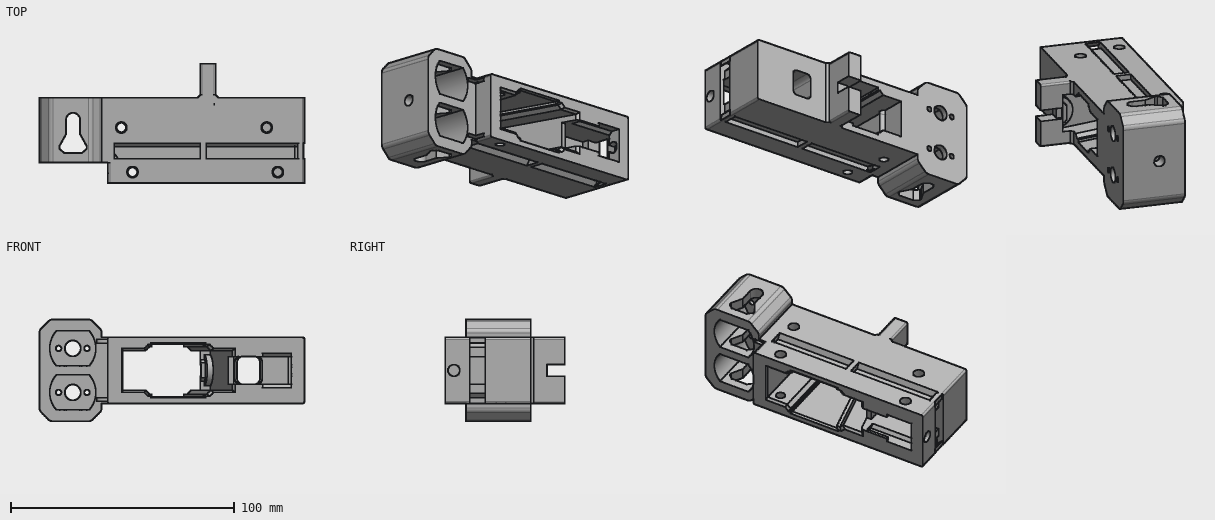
import cadquery as cq
import math

total_length = 118.8
total_depth = 53.5
body_depth = 38.4
body_height = 29.7
body_left = 30.5
edge_fillet = 1.0
half_body = body_height / 2

pod_width = 27.9
pod_height = 45.7
pod_front = 9.3
pod_corner = 4.9
pod_corner_fillet = 2.8
socket_x = 15.0
socket_z = 9.9
socket_half_width = 10.3
socket_half_flat = 7.4
socket_half_height = 7.8
socket_floor = 35.4
cable_hole_diameter = 7.0
pin_hole_diameter = 2.4
pin_spacing = 12.7

keyhole_x = 15.1
keyhole_top = 31.5
keyhole_narrow = 3.1
keyhole_neck = 22.0
keyhole_shoulder = 16.6
keyhole_wide = 6.0
keyhole_side = 1.2
keyhole_bottom = 13.5
keyhole_bottom_half = 3.9

side_hole_y = 21.4

tie_slot_radius = 4.9
tie_slot_low = 12.2
tie_slot_height = 1.7

arm_left = 72.0
arm_right = 79.0
arm_fillet = 0.8
arm_root_chamfer = 1.2
arm_slot_height = 5.2
arm_slot_floor = 45.6
arm_recess_depth = 1.7

channel_left = 37.4
channel_right = 86.6
channel_half_narrow = 8.8
channel_half_wide = 11.8
channel_depth = 43.1
channel_shift = 10.1
channel_half_ledge = 10.6
wide_left_start = 47.5
wide_left_end = 50.2
wide_right_start = 73.5
wide_right_end = 77.0
channel_chamfer = 1.1
channel_left_chamfer = 0.5
wide_chamfer = 0.6

pad_radius = 7.1
pad_axis_y = 44.5
pad_thickness = 2.6
tab_left = 72.3
tab_height = 9.5
tab_thickness = 2.0
tab_chamfer = 1.4

bay_half_height = 6.2
bay_left = 86.9
bay_right = 111.4
bay_depth = 21.4
bay_entry_depth = 8.3
latch_half_height = 7.7
latch_left = 89.1
latch_lip_end = 100.0
latch_right = 112.8
latch_lip = 1.3
latch_slope_start = 4.5
latch_slope_end = latch_slope_start + latch_half_height - bay_half_height
bay_end_right = 116.6
outlet_left = 88.6
outlet_right = 98.7
outlet_corner = 2.4
outlet_flare = 1.1

strap_front = 11.0
strap_back = 17.9
strap_floor_back = 16.3
strap_depth = 2.5
strap_left = 33.6
strap_left_end = 72.1
strap_right = 74.8
strap_bend = 114.2
strap_bar_left = 115.7
strap_bar_right = 118.3

screw_bore = 4.2
screw_mouth = 5.0
screw_taper_depth = 5.9
through_screws = [(36.7, 24.9), (41.7, 5.0)]
screw_pitch = 65.1
blind_screw_floor = 8.3
end_hole_y = 3.9
end_hole_diameter = 5.2


def slab(x0, x1, y0, y1, half_height):
    """Box between two corners in plan, centred on the mid-height plane."""
    block = cq.Workplane("XY").box(x1 - x0, y1 - y0, 2 * half_height, centered=(False, False, True))
    return block.translate((x0, y0, 0))


def bore_y(x, z, diameter, y0, y1):
    """Cylinder along Y."""
    return cq.Workplane("XZ", origin=(x, y0, z)).circle(diameter / 2).extrude(-(y1 - y0))


def bore_x(y, diameter, x0, x1):
    """Cylinder along X at mid-height."""
    return cq.Workplane("YZ", origin=(x0, y, 0)).circle(diameter / 2).extrude(x1 - x0)


def bore_z(x, y, diameter, z0, z1):
    """Cylinder along Z."""
    return cq.Workplane("XY", origin=(x, y, z0)).circle(diameter / 2).extrude(z1 - z0)


def make_pod():
    pod = slab(0, pod_width, pod_front, body_depth, pod_height / 2)
    pod = pod.edges("|Y").chamfer(pod_corner)
    return pod.edges("|Y").fillet(pod_corner_fillet)


def make_body():
    body = slab(body_left, total_length, 0, body_depth, half_body)
    body = body.edges("|Y").fillet(edge_fillet)
    neck = slab(pod_width / 2, body_left + edge_fillet, pod_front, body_depth, half_body)
    return body.union(neck)


def make_arm():
    arm = slab(arm_left, arm_right, body_depth, total_depth, half_body)
    arm = arm.edges("|Y").fillet(arm_fillet)
    root = (
        cq.Workplane("XY", origin=(0, 0, -half_body))
        .moveTo(arm_left - arm_root_chamfer, body_depth)
        .lineTo(arm_left, body_depth + arm_root_chamfer)
        .lineTo(arm_right, body_depth + arm_root_chamfer)
        .lineTo(arm_right + arm_root_chamfer, body_depth)
        .close()
        .extrude(body_height)
    )
    return arm.union(root)


def connector_cuts():
    """Two connector sockets with their cable and pin holes."""
    cuts = cq.Workplane("XY")
    for z in (-socket_z, socket_z):
        socket = (
            cq.Workplane("XZ", origin=(socket_x, pod_front, z))
            .moveTo(-socket_half_flat, -socket_half_height)
            .lineTo(socket_half_flat, -socket_half_height)
            .threePointArc((socket_half_width, 0), (socket_half_flat, socket_half_height))
            .lineTo(-socket_half_flat, socket_half_height)
            .threePointArc((-socket_half_width, 0), (-socket_half_flat, -socket_half_height))
            .close()
            .extrude(-(socket_floor - pod_front))
        )
        cuts = cuts.union(socket)
        cuts = cuts.union(bore_y(socket_x, z, cable_hole_diameter, pod_front, body_depth))
        for side in (-1, 1):
            pin_x = socket_x + side * pin_spacing / 2
            cuts = cuts.union(bore_y(pin_x, z, pin_hole_diameter, pod_front, body_depth))
    return cuts


def keyhole_cut():
    return (
        cq.Workplane("XY", origin=(keyhole_x, 0, -pod_height / 2))
        .moveTo(-keyhole_bottom_half, keyhole_bottom)
        .lineTo(keyhole_bottom_half, keyhole_bottom)
        .lineTo(keyhole_wide, keyhole_shoulder - keyhole_side)
        .lineTo(keyhole_wide, keyhole_shoulder)
        .lineTo(keyhole_narrow, keyhole_neck)
        .lineTo(keyhole_narrow, keyhole_top - keyhole_narrow)
        .threePointArc((0, keyhole_top), (-keyhole_narrow, keyhole_top - keyhole_narrow))
        .lineTo(-keyhole_narrow, keyhole_neck)
        .lineTo(-keyhole_wide, keyhole_shoulder)
        .lineTo(-keyhole_wide, keyhole_shoulder - keyhole_side)
        .close()
        .extrude(pod_height)
    )


def tie_slots():
    """Thin round slots cut into the inner corner between pod and body, near top and bottom."""
    slot_top = tie_slot_low + tie_slot_height
    upper = bore_z(body_left, pod_front, 2 * tie_slot_radius, tie_slot_low, slot_top)
    return upper.union(upper.mirror("XY"))


def channel_shift_at(y):
    """Sideways lean of the channel's right-hand walls at depth y."""
    return channel_shift * y / channel_depth


def channel_outline(y, grow=0.0, grow_left=0.0):
    """Channel cross-section at depth y, optionally enlarged for the entry chamfer."""
    shift = grow - channel_shift_at(y)
    narrow = channel_half_narrow + grow
    ledge = channel_half_ledge + grow
    wide = channel_half_wide + min(grow, wide_chamfer)
    ledge_run = channel_half_ledge - channel_half_narrow
    upper = [
        (channel_left - grow_left, narrow),
        (wide_left_start - grow_left, narrow),
        (wide_left_start + ledge_run - grow_left, ledge),
        (wide_left_end - grow_left, ledge),
        (wide_left_end - grow_left, wide),
        (wide_right_start + shift, wide),
        (wide_right_start + shift, ledge),
        (wide_right_end - ledge_run + shift, ledge),
        (wide_right_end + shift, narrow),
        (channel_right + shift, narrow),
    ]
    lower = [(x, -z) for x, z in reversed(upper)]
    points = [cq.Vector(x, y, z) for x, z in upper + lower]
    return cq.Wire.makePolygon(points, close=True)


def channel_cut():
    channel = cq.Solid.makeLoft([channel_outline(0), channel_outline(channel_depth)], True)
    entry = cq.Solid.makeLoft(
        [channel_outline(0, channel_chamfer, channel_left_chamfer), channel_outline(channel_chamfer)], True
    )
    return cq.Workplane(channel).union(cq.Workplane(entry))


def make_pad():
    """Rounded pad and small tab standing in the arm's share of the channel."""
    top = pad_axis_y - pad_radius
    wall_top = channel_right - channel_shift_at(top)
    wall_base = channel_right - channel_shift_at(channel_depth)
    blank = (
        cq.Workplane("XY", origin=(0, 0, -pad_radius))
        .polyline([
            (wall_top - pad_thickness, top),
            (arm_right, top),
            (arm_right, channel_depth),
            (wall_base - pad_thickness, channel_depth),
        ])
        .close()
        .extrude(2 * pad_radius)
    )
    pad = blank.intersect(bore_x(pad_axis_y, 2 * pad_radius, arm_left, arm_right))
    tab = slab(tab_left, wall_base, channel_depth - tab_thickness, channel_depth, tab_height / 2)
    tab = tab.edges("|X and <Y").chamfer(tab_chamfer)
    return pad.union(tab)


def arm_slot_cut():
    slot = slab(arm_left, arm_right, arm_slot_floor, total_depth, arm_slot_height / 2)
    recess = slab(arm_left, arm_left + arm_recess_depth, channel_depth, arm_slot_floor, arm_slot_height / 2)
    return slot.union(recess)


def latch_cut():
    """Taller mouth of the bay, hidden behind a thin front lip on its left part."""
    upper = [
        (0, latch_half_height),
        (latch_slope_start, latch_half_height),
        (latch_slope_end, bay_half_height),
    ]
    profile = upper + [(y, -z) for y, z in reversed(upper)]
    mouth = (
        cq.Workplane("YZ", origin=(latch_left, 0, 0))
        .polyline(profile)
        .close()
        .extrude(latch_right - latch_left)
    )
    lip = slab(latch_left, latch_lip_end, 0, latch_lip, latch_half_height)
    return mouth.cut(lip)


def bay_cuts():
    entry_left = channel_right - channel_shift
    bay = slab(bay_left, bay_right, 0, bay_depth, bay_half_height)
    bay = bay.union(slab(entry_left, bay_left, 0, bay_entry_depth, bay_half_height))
    bay = bay.union(slab(bay_right, bay_end_right, latch_slope_end, strap_back, bay_half_height))
    return bay.union(latch_cut())


def outlet_section(grow):
    """Solid prism of the outlet opening, widened sideways by grow."""
    return (
        slab(outlet_left - grow, outlet_right + grow, bay_depth, body_depth, bay_half_height)
        .edges("|Y")
        .fillet(outlet_corner)
    )


def outlet_cut():
    """Rounded opening from the bay floor to the back, flared sideways at the floor."""
    hole = outlet_section(0)
    mouth = outlet_section(outlet_flare).faces("<Y").wires().val()
    throat = hole.faces("<Y").wires().val().translate(cq.Vector(0, outlet_flare, 0))
    flare = cq.Solid.makeLoft([mouth, throat], True)
    return hole.union(cq.Workplane(flare))


def strap_groove(x0, x1):
    """Groove in the top face with a sloping back wall."""
    floor = half_body - strap_depth
    return (
        cq.Workplane("YZ", origin=(x0, 0, 0))
        .polyline([
            (strap_front, half_body),
            (strap_front, floor),
            (strap_floor_back, floor),
            (strap_back, half_body),
        ])
        .close()
        .extrude(x1 - x0)
    )


def strap_cuts():
    """Top and bottom grooves, and the end groove running behind a bar at each corner."""
    floor = half_body - strap_depth
    top = strap_groove(strap_left, strap_left_end).union(strap_groove(strap_right, strap_bar_left))
    end_floor = total_length - strap_depth
    bend_drop = end_floor - strap_bend
    end_upper = [
        (strap_bend, half_body),
        (strap_bend, floor),
        (end_floor, floor - bend_drop),
    ]
    end_lower = [(x, -z) for x, z in reversed(end_upper)]
    end = (
        cq.Workplane("XZ", origin=(0, strap_front, 0))
        .polyline(end_upper + end_lower + [(total_length, -half_body), (total_length, half_body)])
        .close()
        .extrude(strap_front - strap_back)
    )
    bar_reach = half_body - (strap_bar_right - strap_bar_left)
    bar = (
        cq.Workplane("XZ", origin=(0, strap_front, 0))
        .polyline([
            (strap_bar_left, half_body),
            (strap_bar_right, half_body),
            (strap_bar_right, bar_reach),
        ])
        .close()
        .extrude(strap_front - strap_back)
    )
    wedge = (
        cq.Workplane("YZ", origin=(strap_bend, 0, 0))
        .polyline([(strap_floor_back, floor), (strap_back, floor), (strap_back, half_body)])
        .close()
        .extrude(strap_bar_left - strap_bend)
    )
    end = end.cut(bar).cut(bar.mirror("XY")).cut(wedge).cut(wedge.mirror("XY"))
    return top.union(top.mirror("XY")).union(end)


def tapered_bore():
    """Screw hole entry pointing down from the origin, narrowing from mouth to bore."""
    taper = math.degrees(math.atan((screw_mouth - screw_bore) / 2 / screw_taper_depth))
    return cq.Workplane("XY").circle(screw_mouth / 2).extrude(-screw_taper_depth, taper=taper)


def screw_cuts():
    cuts = cq.Workplane("XY")
    for x, y in through_screws:
        for hole_x, floor in ((x, -half_body), (x + screw_pitch, blind_screw_floor)):
            cuts = cuts.union(bore_z(hole_x, y, screw_bore, floor, half_body))
            cuts = cuts.union(tapered_bore().translate((hole_x, y, half_body)))
    return cuts


def end_hole_cuts():
    """Tapered hole in the pod's outer side and plain hole in the far end of the body."""
    sideways = tapered_bore().rotate((0, 0, 0), (0, 1, 0), -90)
    pod_hole = sideways.translate((0, side_hole_y, 0))
    body_hole = bore_x(end_hole_y, end_hole_diameter, latch_right, total_length)
    return pod_hole.union(body_hole)


result = make_pod().union(make_body()).union(make_arm())
result = result.cut(channel_cut()).union(make_pad())
for cut in (
    connector_cuts(),
    keyhole_cut(),
    tie_slots(),
    arm_slot_cut(),
    bay_cuts(),
    outlet_cut(),
    strap_cuts(),
    screw_cuts(),
    end_hole_cuts(),
):
    result = result.cut(cut)